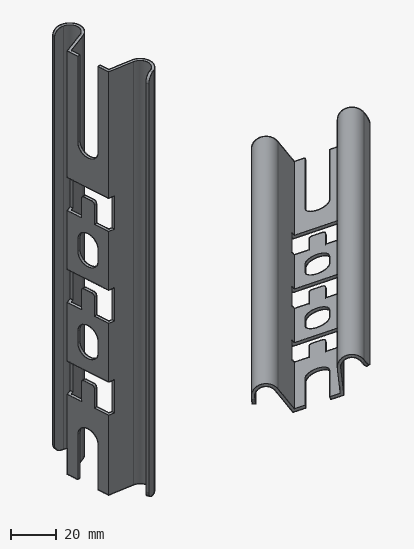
import cadquery as cq
import math

length = 230.0
width = 55.0
depth = 18.0
thickness = 1.5

arch_radius = 6.5
flank_angle = math.radians(15)
lip_tip_y = 8.3
lip_corner_radius = 4.0

slot_width = 11.5
top_slot_depth = 52.5
bottom_slot_depth = 30.4
pitch = 50.0
window_count = 3
window_height = 18.0
window_depth = 3.0
first_window_z = 43.5
tongue_width = 7.5
tongue_height = 12.0
tongue_corner_radius = 1.5
oval_height = 18.0
oval_offset = 34.0

sine = math.sin(flank_angle)
cosine = math.cos(flank_angle)
inner_radius = arch_radius - thickness
arch_y = depth - arch_radius
arch_tangent_y = arch_y + arch_radius * sine
tip_outer_y = lip_tip_y + thickness * sine
lip_run = (arch_tangent_y - tip_outer_y) * math.tan(flank_angle)
arch_x = width / 2 - lip_run - arch_radius * cosine
leg_tangent_y = arch_y + inner_radius * sine
web_half_width = arch_x - inner_radius * cosine - leg_tangent_y * math.tan(flank_angle)


def arch_point(radius, side):
    """Point where an arch surface meets the leg (side -1) or the lip (side 1)."""
    return arch_x + side * radius * cosine, arch_y + radius * sine


def half_profile():
    """Closed cross-section of the half on the +X side."""
    leg_outer = arch_point(arch_radius, -1)
    leg_inner = arch_point(inner_radius, -1)
    lip_outer = arch_point(arch_radius, 1)
    lip_inner = arch_point(inner_radius, 1)
    tip_outer = (width / 2, tip_outer_y)
    tip_inner = (width / 2 - thickness * cosine, lip_tip_y)
    web_inner_x = leg_outer[0] - (leg_outer[1] - thickness) * math.tan(flank_angle)
    return (
        cq.Workplane("XY")
        .moveTo(0, 0)
        .lineTo(web_half_width, 0)
        .lineTo(*leg_inner)
        .threePointArc((arch_x, arch_y + inner_radius), lip_inner)
        .lineTo(*tip_inner)
        .lineTo(*tip_outer)
        .lineTo(*lip_outer)
        .threePointArc((arch_x, depth), leg_outer)
        .lineTo(web_inner_x, thickness)
        .lineTo(0, thickness)
        .close()
    )


def half_rail():
    """Half of the rail with the end corners of its lip rounded."""
    half = half_profile().extrude(length)
    tip_x = (width - thickness * cosine) / 2
    tip_y = (lip_tip_y + tip_outer_y) / 2
    corners = [
        half.edges(cq.selectors.NearestToPointSelector((tip_x, tip_y, z)))
        for z in (0, length)
    ]
    return half.newObject([corner.val() for corner in corners]).fillet(lip_corner_radius)


def slot_cutter(bottom_z, top_z):
    """Round-ended slot through the web, between two heights."""
    return (
        cq.Workplane("XZ", origin=(0, 0, (bottom_z + top_z) / 2))
        .slot2D(top_z - bottom_z, slot_width, 90)
        .extrude(thickness, both=True)
    )


def window_cutter(bottom_z):
    """Window across the web and leg roots that leaves a tongue standing."""
    window = cq.Workplane("XY").box(
        width, window_depth, window_height, centered=(True, False, False)
    )
    tongue = (
        cq.Workplane("XY")
        .box(tongue_width, thickness, tongue_height, centered=(True, False, False))
        .edges("|Y and >Z")
        .fillet(tongue_corner_radius)
    )
    return window.cut(tongue).translate((0, 0, bottom_z))


right_half = half_rail()
rail = right_half.union(right_half.mirror("YZ")).clean()

rail = rail.cut(slot_cutter(length - top_slot_depth, length + slot_width))
rail = rail.cut(slot_cutter(-slot_width, bottom_slot_depth))

for index in range(window_count):
    window_z = first_window_z + index * pitch
    rail = rail.cut(window_cutter(window_z))
    if index < window_count - 1:
        oval_z = window_z + oval_offset
        rail = rail.cut(slot_cutter(oval_z - oval_height / 2, oval_z + oval_height / 2))

result = rail